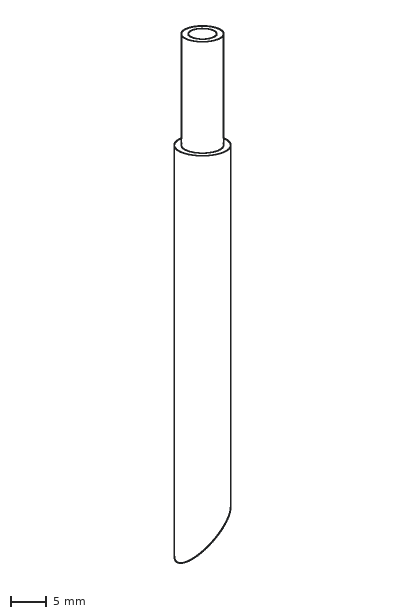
import cadquery as cq

total_length = 80.0
body_diameter = 8.0
spigot_diameter = 6.0
spigot_length = 17.0
bore_diameter = 4.0

body_length = total_length - spigot_length
body_radius = body_diameter / 2
bevel_height = body_diameter


def make_stepped_rod():
    """Round body with a thinner coaxial spigot on its upper end."""
    body = cq.Workplane("XY").circle(body_radius).extrude(body_length)
    return body.faces(">Z").workplane().circle(spigot_diameter / 2).extrude(spigot_length)


def make_bore():
    """Coaxial bore running the full length of the part."""
    return cq.Workplane("XY").circle(bore_diameter / 2).extrude(total_length)


def make_bevel_wedge():
    """Wedge below the slanted lower end, leaving the tip on the -Y side."""
    return (
        cq.Workplane("YZ")
        .moveTo(-body_radius, 0)
        .lineTo(body_radius, 0)
        .lineTo(body_radius, bevel_height)
        .close()
        .extrude(body_radius, both=True)
    )


result = make_stepped_rod().cut(make_bore()).cut(make_bevel_wedge())